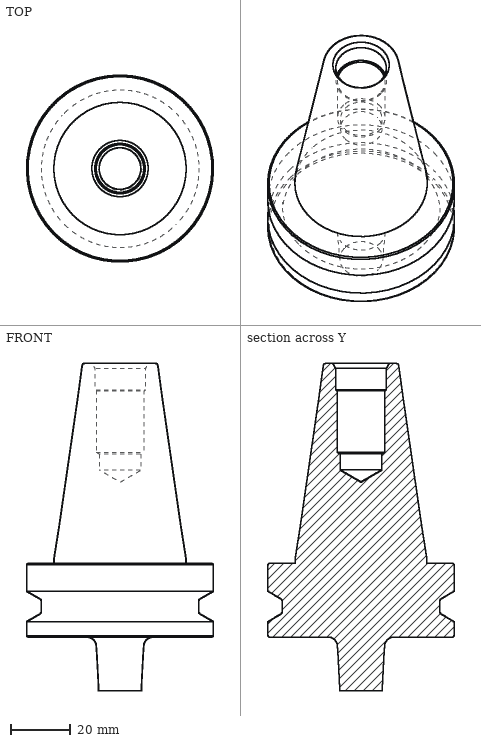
import cadquery as cq
import math


GAUGE_DIAMETER = 44.45
TAPER_RATE = 7 / 24
SHANK_LENGTH = 65.4
TAPER_OVERRUN = 0.6
SHANK_TIP_FILLET = 1.0

FLANGE_DIAMETER = 63.0
FLANGE_TOP_Z = -2.0
FLANGE_BOTTOM_Z = -27.0
FLANGE_TOP_CHAMFER = 0.5
FLANGE_BOTTOM_CHAMFER = 0.5

GROOVE_CENTER_Z = -16.6
GROOVE_DIAMETER = 53.2
GROOVE_MOUTH_WIDTH = 10.2
GROOVE_FLANK_ANGLE = 30.0
GROOVE_ROOT_FILLET = 0.7

STUB_LENGTH = 18.0
STUB_ROOT_DIAMETER = 16.1
STUB_END_DIAMETER = 14.5
STUB_ROOT_FILLET = 3.0

MOUTH_DIAMETER = 19.0
MOUTH_ANGLE = 30.0
PILOT_DIAMETER = 17.0
PILOT_DEPTH = 9.0
THREAD_DIAMETER = 16.0
THREAD_DEPTH = 30.0
CORE_DIAMETER = 14.0
CORE_DEPTH = 36.0
DRILL_POINT_ANGLE = 120.0


def taper_radius(z):
    """Radius of the steep taper at height z."""
    return (GAUGE_DIAMETER - TAPER_RATE * z) / 2


def revolve(outline):
    """Turn a closed radius-height outline a full revolution about Z."""
    return outline.close().revolve(360, (0, 0, 0), (0, 1, 0))


def make_shank():
    cone_end_z = -TAPER_OVERRUN
    cone_end_radius = taper_radius(cone_end_z)
    outline = (
        cq.Workplane("YZ")
        .moveTo(0, FLANGE_TOP_Z)
        .lineTo(cone_end_radius, FLANGE_TOP_Z)
        .lineTo(cone_end_radius, cone_end_z)
        .lineTo(taper_radius(SHANK_LENGTH), SHANK_LENGTH)
        .lineTo(0, SHANK_LENGTH)
    )
    return revolve(outline).faces(">Z").edges().fillet(SHANK_TIP_FILLET)


def make_flange():
    rim = FLANGE_DIAMETER / 2
    groove = GROOVE_DIAMETER / 2
    mouth_half = GROOVE_MOUTH_WIDTH / 2
    floor_half = mouth_half - (rim - groove) * math.tan(math.radians(GROOVE_FLANK_ANGLE))
    outline = (
        cq.Workplane("YZ")
        .moveTo(0, FLANGE_BOTTOM_Z)
        .lineTo(rim - FLANGE_BOTTOM_CHAMFER, FLANGE_BOTTOM_Z)
        .lineTo(rim, FLANGE_BOTTOM_Z + FLANGE_BOTTOM_CHAMFER)
        .lineTo(rim, GROOVE_CENTER_Z - mouth_half)
        .lineTo(groove, GROOVE_CENTER_Z - floor_half)
        .lineTo(groove, GROOVE_CENTER_Z + floor_half)
        .lineTo(rim, GROOVE_CENTER_Z + mouth_half)
        .lineTo(rim, FLANGE_TOP_Z - FLANGE_TOP_CHAMFER)
        .lineTo(rim - FLANGE_TOP_CHAMFER, FLANGE_TOP_Z)
        .lineTo(0, FLANGE_TOP_Z)
    )
    smallest_circles = cq.selectors.RadiusNthSelector(0)
    return revolve(outline).edges(smallest_circles).fillet(GROOVE_ROOT_FILLET)


def make_stub():
    end_z = FLANGE_BOTTOM_Z - STUB_LENGTH
    root_radius = STUB_ROOT_DIAMETER / 2
    fillet_end_z = FLANGE_BOTTOM_Z - STUB_ROOT_FILLET
    outline = (
        cq.Workplane("YZ")
        .moveTo(0, end_z)
        .lineTo(STUB_END_DIAMETER / 2, end_z)
        .lineTo(root_radius, fillet_end_z)
        .radiusArc((root_radius + STUB_ROOT_FILLET, FLANGE_BOTTOM_Z), STUB_ROOT_FILLET)
        .lineTo(0, FLANGE_BOTTOM_Z)
    )
    return revolve(outline)


def make_bore():
    mouth = MOUTH_DIAMETER / 2
    pilot = PILOT_DIAMETER / 2
    thread = THREAD_DIAMETER / 2
    core = CORE_DIAMETER / 2
    mouth_depth = (mouth - pilot) / math.tan(math.radians(MOUTH_ANGLE))
    drill_tangent = math.tan(math.radians(DRILL_POINT_ANGLE / 2))
    pilot_end_z = SHANK_LENGTH - PILOT_DEPTH
    thread_end_z = SHANK_LENGTH - THREAD_DEPTH
    thread_start_z = pilot_end_z - (pilot - thread) / drill_tangent
    core_start_z = thread_end_z - (thread - core) / drill_tangent
    core_end_z = SHANK_LENGTH - CORE_DEPTH
    tip_z = core_end_z - core / drill_tangent
    outline = (
        cq.Workplane("YZ")
        .moveTo(0, SHANK_LENGTH)
        .lineTo(mouth, SHANK_LENGTH)
        .lineTo(pilot, SHANK_LENGTH - mouth_depth)
        .lineTo(pilot, pilot_end_z)
        .lineTo(thread, thread_start_z)
        .lineTo(thread, thread_end_z)
        .lineTo(core, core_start_z)
        .lineTo(core, core_end_z)
        .lineTo(0, tip_z)
    )
    return revolve(outline)


body = make_shank().union(make_flange()).union(make_stub())
result = body.cut(make_bore())